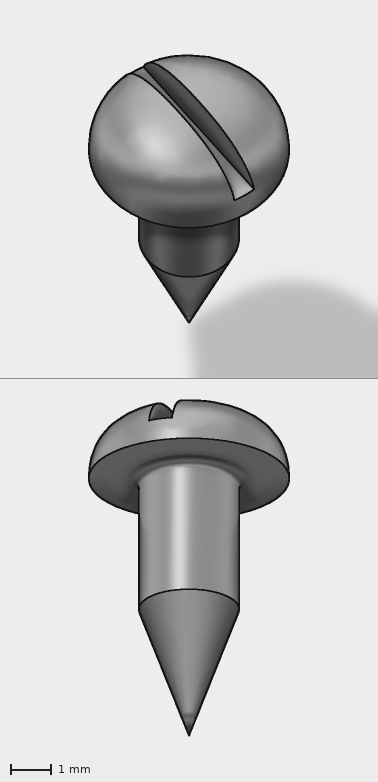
import cadquery as cq
import math

total_length = 8.69
head_diameter = 5.0
head_height = 1.695
shank_diameter = 2.5
tip_half_angle = 20.0

crown_pull = 1.825
rim_pull = 1.06

neck_radius = 0.26

slot_width = 0.6
slot_depth = 1.07

head_radius = head_diameter / 2
shank_radius = shank_diameter / 2
underside_z = total_length - head_height
tip_height = shank_radius / math.tan(math.radians(tip_half_angle))


def make_body():
    """Tip, shank, neck and head revolved about Z."""
    dome_controls = [
        (head_radius, underside_z),
        (head_radius, underside_z + rim_pull),
        (crown_pull, total_length),
        (0, total_length),
    ]
    return (
        cq.Workplane("XZ")
        .lineTo(shank_radius, tip_height)
        .lineTo(shank_radius, underside_z - neck_radius)
        .radiusArc((shank_radius + neck_radius, underside_z), neck_radius)
        .lineTo(head_radius, underside_z)
        .bezier(dome_controls)
        .close()
        .revolve(360, (0, 0, 0), (0, 1, 0))
    )


def make_slot():
    """Straight slot along X, open at both sides of the head."""
    return (
        cq.Workplane("XY")
        .workplane(offset=total_length - slot_depth)
        .rect(head_diameter, slot_width)
        .extrude(2 * slot_depth)
    )


result = make_body().cut(make_slot())